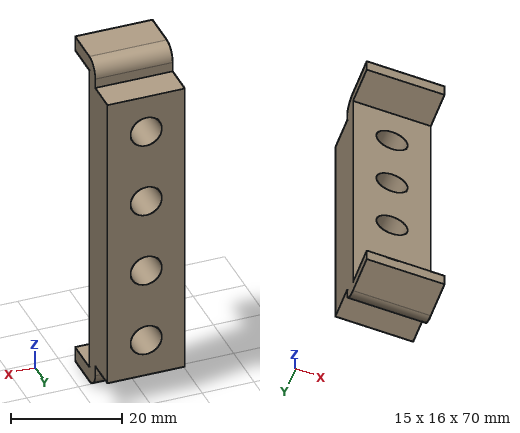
import cadquery as cq

height = 70.0
width = 15.0
thickness = 3.0
flange_reach = 10.0
bend_radius = thickness

block_height = 60.0
block_depth = 6.0

hole_diameter = 6.0
hole_pitch = 15.0
hole_count = 4

total_depth = flange_reach + block_depth
front_y = -total_depth / 2
web_back_y = front_y + flange_reach


def channel():
    """C-shaped bracket opening toward -Y, with rounded outer bends."""
    outer = (
        cq.Workplane("XY")
        .box(width, flange_reach, height)
        .edges(">Y and |X")
        .fillet(bend_radius)
    )
    opening = cq.Workplane("XY").box(width, flange_reach, height - 2 * thickness)
    bracket = outer.cut(opening.translate((0, -thickness, 0)))
    return bracket.translate((0, front_y + flange_reach / 2, 0))


def backing_block():
    """Rectangular block seated on the back face of the web."""
    block = cq.Workplane("XY").box(width, block_depth, block_height)
    return block.translate((0, web_back_y + block_depth / 2, 0))


def hole_row():
    """Cylinders along Y, evenly spaced about mid-height."""
    return (
        cq.Workplane("XZ")
        .rarray(0.7, hole_pitch, 1, hole_count)
        .circle(hole_diameter / 2)
        .extrude(total_depth / 2, both=True)
    )


result = channel().union(backing_block()).cut(hole_row())